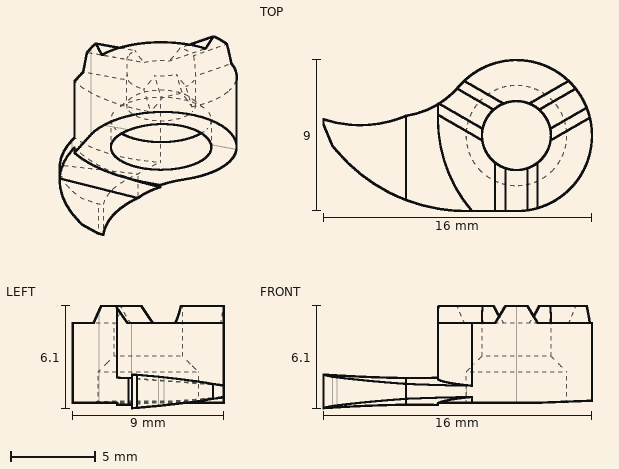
import cadquery as cq
import math


hub_radius = 4.501
deck_height = 4.75
total_height = 6.1
wall_top_x = -4.67
wall_bend_y = 0.99
wall_foot_x = -2.64
flank_tangent_angle = 139.5

bore_radius = 2.05
counterbore_radius = 2.99
counterbore_depth = 1.84
seat_height = counterbore_radius - bore_radius

relief_start_x = 1.44
relief_angle = 2.2

tooth_count = 3
first_tooth_angle = 30.0
tooth_base_width = 2.53
tooth_top_width = 1.31

length = 15.99
tip_x = hub_radius - length
tip_y = 0.98
tip_flat = 0.3
front_corner = (-10.95, -0.6)
belly_start = (-10.68, -0.93)
belly_end_x = -2.97
hook_low = (-9.26, 0.62)
joint_x = -6.55
joint_y = 1.18

blade_mid_z = 0.68
tip_half_thickness = 1.0
joint_half_thickness = 0.8
side_slope = 0.071
shank_slope = -0.016

tip_bottom_z = blade_mid_z - tip_half_thickness
top_z = tip_bottom_z + total_height
tooth_height = top_z - deck_height


def circle_point(angle):
    """Point on the hub circle at an angle in degrees."""
    return hub_radius * math.cos(math.radians(angle)), hub_radius * math.sin(math.radians(angle))


flank_end = circle_point(flank_tangent_angle)
chord = (flank_end[0] - joint_x, flank_end[1] - joint_y)
chord_along_radius = (chord[0] * flank_end[0] + chord[1] * flank_end[1]) / hub_radius
flank_radius = -(chord[0] ** 2 + chord[1] ** 2) / (2 * chord_along_radius)
center_ratio = (hub_radius + flank_radius) / hub_radius
flank_center = (flank_end[0] * center_ratio, flank_end[1] * center_ratio)


def flank_point(x):
    """Point on the concave flank at a given X."""
    return x, flank_center[1] - math.sqrt(flank_radius**2 - (x - flank_center[0]) ** 2)


belly_run = belly_end_x - belly_start[0]
belly_rise = belly_start[1] + hub_radius
belly_radius = (belly_run**2 + belly_rise**2) / (2 * belly_rise)


def belly_point(x):
    """Point on the convex belly at a given X."""
    drop = math.sqrt(belly_radius**2 - (x - belly_end_x) ** 2)
    return x, belly_radius - hub_radius - drop


def midway(a, b):
    return (a + b) / 2


wall_top = flank_point(wall_top_x)
wall_bend = (wall_top_x, wall_bend_y)
wall_foot = (wall_foot_x, -hub_radius)

wall_run = wall_foot_x - wall_top_x
wall_drop = wall_bend_y + hub_radius
wall_radius = (wall_run**2 + wall_drop**2) / (2 * wall_run)
wall_middle_angle = math.asin(wall_drop / wall_radius) / 2
wall_middle = (
    wall_top_x + wall_radius * (1 - math.cos(wall_middle_angle)),
    wall_bend_y - wall_radius * math.sin(wall_middle_angle),
)


def blade_section(x, half_thickness_at_joint_y):
    """Closed trapezoid across the blade at a given X."""
    low_y = -hub_radius - 0.16
    high_y = hub_radius
    low_half = half_thickness_at_joint_y + side_slope * (low_y - joint_y)
    high_half = half_thickness_at_joint_y + side_slope * (high_y - joint_y)
    corners = [
        (x, low_y, blade_mid_z - low_half),
        (x, high_y, blade_mid_z - high_half),
        (x, high_y, blade_mid_z + high_half),
        (x, low_y, blade_mid_z + low_half),
    ]
    return cq.Wire.makePolygon([cq.Vector(*corner) for corner in corners], close=True)


def blade_wedge(start_x, start_half, end_x, end_half):
    """Tapered slab that sets the blade thickness between two X positions."""
    sections = [blade_section(start_x, start_half), blade_section(end_x, end_half)]
    return cq.Workplane(cq.Solid.makeLoft(sections, True))


def make_cutting_tip():
    outline = (
        cq.Workplane("XY", origin=(0, 0, tip_bottom_z))
        .moveTo(joint_x, joint_y)
        .threePointArc(hook_low, (tip_x, tip_y))
        .lineTo(tip_x, tip_y - tip_flat)
        .lineTo(*front_corner)
        .lineTo(*belly_start)
        .threePointArc(belly_point(midway(belly_start[0], joint_x)), belly_point(joint_x))
        .close()
        .extrude(2 * tip_half_thickness)
    )
    half_at_tip_x = tip_half_thickness - side_slope * (tip_y - joint_y)
    return outline.intersect(blade_wedge(tip_x, half_at_tip_x, joint_x, joint_half_thickness))


def make_shank():
    """Blade root between the joint and the front wall of the hub."""
    outline = (
        cq.Workplane("XY", origin=(0, 0, tip_bottom_z))
        .moveTo(*belly_point(joint_x))
        .threePointArc(belly_point(midway(joint_x, belly_end_x)), belly_point(belly_end_x))
        .lineTo(*wall_foot)
        .threePointArc(wall_middle, wall_bend)
        .lineTo(*wall_top)
        .threePointArc(flank_point(midway(wall_top_x, joint_x)), (joint_x, joint_y))
        .close()
        .extrude(2 * tip_half_thickness)
    )
    half_at_foot = joint_half_thickness + shank_slope * (wall_foot_x - joint_x)
    return outline.intersect(blade_wedge(joint_x, joint_half_thickness, wall_foot_x, half_at_foot))


def hub_prism(height):
    return (
        cq.Workplane("XY")
        .moveTo(*wall_foot)
        .lineTo(0, -hub_radius)
        .threePointArc((hub_radius, 0), flank_end)
        .threePointArc(flank_point(midway(flank_end[0], wall_top_x)), wall_top)
        .lineTo(*wall_bend)
        .threePointArc(wall_middle, wall_foot)
        .close()
        .extrude(height)
    )


def make_tooth(angle):
    """Radial bar with sloping flanks, longer than the hub is wide."""
    reach = 2 * hub_radius
    half_base = tooth_base_width / 2
    half_top = tooth_top_width / 2
    section = [(-half_base, 0), (half_base, 0), (half_top, tooth_height), (-half_top, tooth_height)]
    bar = cq.Workplane("YZ", origin=(0, 0, deck_height)).polyline(section).close().extrude(reach)
    return bar.rotate((0, 0, 0), (0, 0, 1), angle)


def make_bore():
    """Through bore with a conical seat and counterbore open to the underside."""
    profile = [
        (0, 0),
        (counterbore_radius, 0),
        (counterbore_radius, counterbore_depth),
        (bore_radius, counterbore_depth + seat_height),
        (bore_radius, top_z),
        (0, top_z),
    ]
    return cq.Workplane("XZ").polyline(profile).close().revolve(360, (0, 0), (0, 1))


def make_relief():
    """Shallow wedge that lifts the underside towards +X."""
    run = hub_radius + 0.16 - relief_start_x
    rise = run * math.tan(math.radians(relief_angle))
    return (
        cq.Workplane("XZ")
        .polyline([(relief_start_x, 0), (relief_start_x + run, 0), (relief_start_x + run, rise)])
        .close()
        .extrude(hub_radius + 0.16, both=True)
    )


def make_hub():
    hub = hub_prism(deck_height)
    envelope = hub_prism(top_z)
    for i in range(tooth_count):
        tooth = make_tooth(first_tooth_angle + i * 360 / tooth_count)
        hub = hub.union(tooth.intersect(envelope))
    return hub.union(make_shank()).cut(make_bore()).cut(make_relief())


cutting_tip = make_cutting_tip()
hub = make_hub()

result = cq.Compound.makeCompound([*cutting_tip.solids().vals(), *hub.solids().vals()])